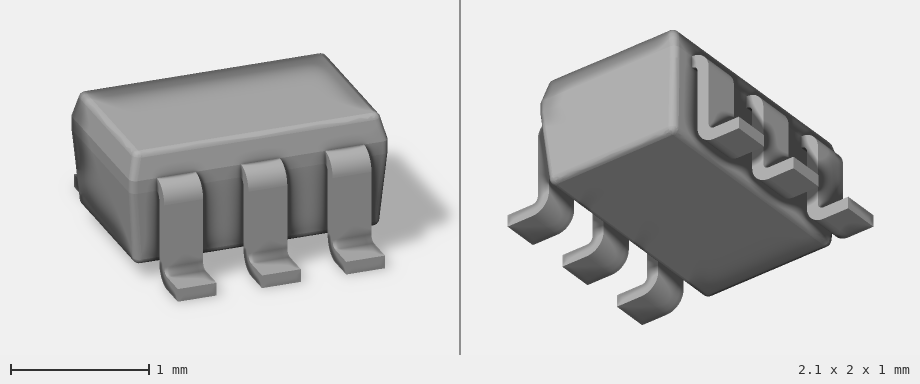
import cadquery as cq
import math

span = 2.1
height = 1.0

lead_thickness = 0.1
lead_width = 0.3
lead_pitch = 0.65
leads_per_side = 3
bend_inner_radius = 0.05
bend_outer_radius = bend_inner_radius + lead_thickness

body_width = 1.25
body_length = 2.0
body_bottom = lead_thickness
band_top = 0.8
band_bottom = band_top - lead_thickness
draft_inset = 0.05
corner_radius = 0.052
edge_radius = 0.05


def make_outline(level, inset):
    """Round-cornered horizontal outline of the housing at one level."""
    outline = cq.Sketch().rect(body_width - 2 * inset, body_length - 2 * inset)
    outline = outline.vertices().fillet(corner_radius)
    return outline.moved(cq.Location(cq.Vector(0, 0, level)))


def make_layer(low_outline, high_outline):
    """Slice of the housing with straight walls between two outlines."""
    return cq.Workplane("XY").placeSketch(low_outline, high_outline).loft(ruled=True)


def make_housing():
    """Moulded housing: a straight band between two sloped halves, with rounded ends."""
    underside = make_outline(body_bottom, draft_inset)
    band_low = make_outline(band_bottom, 0)
    band_high = make_outline(band_top, 0)
    top = make_outline(height, draft_inset)

    lower_half = make_layer(underside, band_low)
    band = make_layer(band_low, band_high)
    upper_half = make_layer(band_high, top)
    housing_blank = lower_half.union(band).union(upper_half)
    return housing_blank.faces("<Z or >Z").edges().fillet(edge_radius)


def make_lead(side, y_center):
    """Gull-wing lead on the -X side (side = -1) or the +X side (side = 1)."""
    wall = body_width / 2
    tip = span / 2
    outer_x = wall + bend_outer_radius
    inner_x = outer_x - lead_thickness
    foot_bend_x = outer_x + bend_inner_radius
    upper_bend_z = band_top - bend_outer_radius

    diagonal = math.sqrt(0.5)
    inner_mid = bend_inner_radius * diagonal
    outer_mid = bend_outer_radius * diagonal

    profile = (
        cq.Workplane("XZ", origin=(0, y_center + lead_width / 2, 0))
        .moveTo(side * wall, band_top)
        .threePointArc(
            (side * (wall + outer_mid), upper_bend_z + outer_mid),
            (side * outer_x, upper_bend_z),
        )
        .lineTo(side * outer_x, bend_outer_radius)
        .threePointArc(
            (side * (foot_bend_x - inner_mid), bend_outer_radius - inner_mid),
            (side * foot_bend_x, lead_thickness),
        )
        .lineTo(side * tip, lead_thickness)
        .lineTo(side * tip, 0)
        .lineTo(side * foot_bend_x, 0)
        .threePointArc(
            (side * (foot_bend_x - outer_mid), bend_outer_radius - outer_mid),
            (side * inner_x, bend_outer_radius),
        )
        .lineTo(side * inner_x, upper_bend_z)
        .threePointArc(
            (side * (wall + inner_mid), upper_bend_z + inner_mid),
            (side * wall, band_bottom),
        )
        .close()
    )
    return profile.extrude(lead_width)


housing = make_housing()

leads = []
for side in (-1, 1):
    for index in range(leads_per_side):
        y_center = (index - (leads_per_side - 1) / 2) * lead_pitch
        leads.append(make_lead(side, y_center).val())

result = cq.Compound.makeCompound([housing.val(), *leads])